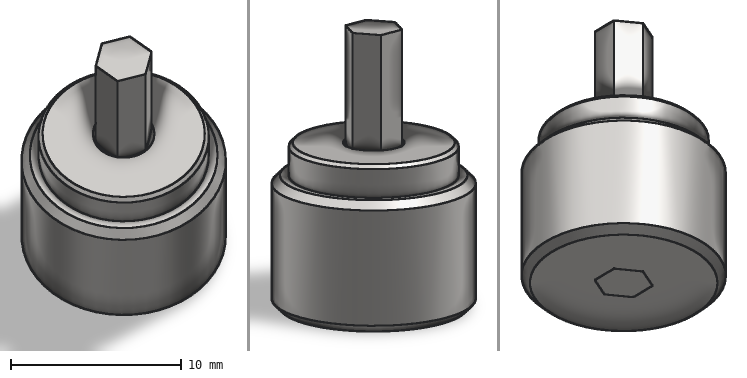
import cadquery as cq
import math

TOTAL_HEIGHT = 17.0
BODY_DIAMETER = 12.0
BODY_HEIGHT = 8.0
BODY_CHAMFER = 0.5
COLLAR_DIAMETER = 10.0
COLLAR_HEIGHT = 1.99
COLLAR_CHAMFER = 0.24
HEX_ACROSS_FLATS = 3.0
COUNTERSINK_DIAMETER = 3.6

HOUSING_HEIGHT = BODY_HEIGHT + COLLAR_HEIGHT
HEX_ACROSS_CORNERS = HEX_ACROSS_FLATS / math.cos(math.pi / 6)
COUNTERSINK_DEPTH = (COUNTERSINK_DIAMETER - HEX_ACROSS_FLATS) / 2


def make_hex_prism(height):
    """Hexagonal prism standing on Z = 0, with two flats facing +Y and -Y."""
    return cq.Workplane("XY").polygon(6, HEX_ACROSS_CORNERS).extrude(height)


def make_countersink():
    """Cone that opens the mouth of the hexagonal socket."""
    cone = cq.Solid.makeCone(
        HEX_ACROSS_FLATS / 2,
        COUNTERSINK_DIAMETER / 2,
        COUNTERSINK_DEPTH,
        pnt=cq.Vector(0, 0, HOUSING_HEIGHT - COUNTERSINK_DEPTH),
    )
    return cq.Workplane(cone)


def make_housing():
    """Stepped round housing with chamfered rims and a countersunk hexagonal through socket."""
    body = cq.Workplane("XY").circle(BODY_DIAMETER / 2).extrude(BODY_HEIGHT)
    body = body.faces("<Z or >Z").chamfer(BODY_CHAMFER)

    collar = cq.Workplane("XY").workplane(offset=BODY_HEIGHT)
    collar = collar.circle(COLLAR_DIAMETER / 2).extrude(COLLAR_HEIGHT)
    collar = collar.faces(">Z").chamfer(COLLAR_CHAMFER)

    socket = make_hex_prism(HOUSING_HEIGHT)
    return body.union(collar).cut(socket).cut(make_countersink())


def make_hex_shaft():
    """Hexagonal shaft that fills the socket and rises above the housing."""
    return make_hex_prism(TOTAL_HEIGHT)


housing = make_housing()
hex_shaft = make_hex_shaft()

result = cq.Compound.makeCompound([housing.val(), hex_shaft.val()])